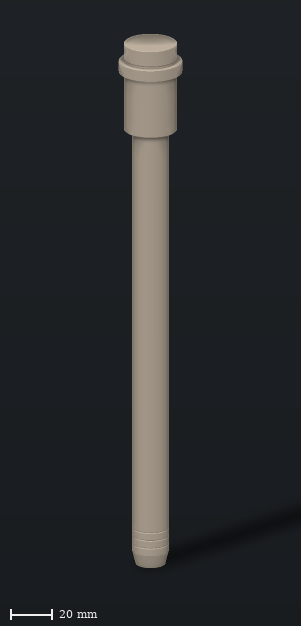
import cadquery as cq

total_length = 270.0

head_radius = 13.0
spigot_length = 9.0
collar_radius = 15.5
collar_thickness = 6.0
seat_length = 30.0
seat_chamfer = 0.5
rim_chamfer = 0.25

shaft_radius = 9.0
tip_radius = 7.25
tip_length = 7.0
tip_fillet = 0.5

relief_radius = 0.5
spigot_relief_height = 0.8

ring_groove_radius = 0.4
first_ring_groove_height = 3.85
ring_groove_count = 3
ring_groove_pitch = 4.0
first_ring_groove_z = tip_length + first_ring_groove_height

collar_top = total_length - spigot_length
collar_bottom = collar_top - collar_thickness
seat_bottom = collar_bottom - seat_length


def cylinder(radius, bottom, top):
    """Solid cylinder on the Z axis between two levels."""
    return cq.Workplane("XY").workplane(offset=bottom).circle(radius).extrude(top - bottom)


def revolve_about_z(profile):
    """Turn a closed profile drawn in the XZ plane about the Z axis."""
    return profile.revolve(360, (0, 0, 0), (0, 1, 0))


def round_groove_cutter(radius, centre_z, groove_radius):
    """Torus that cuts a half-round groove into a cylinder of the given radius."""
    return revolve_about_z(cq.Workplane("XZ").moveTo(radius, centre_z).circle(groove_radius))


def make_head():
    """Seat and spigot as one cylinder, with its reliefs, carrying the collar."""
    head = cylinder(head_radius, seat_bottom, total_length)
    head = head.faces("<Z").chamfer(seat_chamfer).faces(">Z").chamfer(rim_chamfer)
    for relief_z in (collar_top + spigot_relief_height, collar_bottom - relief_radius):
        head = head.cut(round_groove_cutter(head_radius, relief_z, relief_radius))
    collar = cylinder(collar_radius, collar_bottom, collar_top).faces("<Z or >Z").chamfer(rim_chamfer)
    return head.union(collar)


def make_shaft():
    """Shaft with a conical tip and ring grooves, reaching up to the head."""
    shaft = revolve_about_z(
        cq.Workplane("XZ")
        .lineTo(tip_radius, 0)
        .lineTo(shaft_radius, tip_length)
        .lineTo(shaft_radius, seat_bottom)
        .lineTo(0, seat_bottom)
        .close()
    )
    shaft = shaft.faces("<Z").edges().fillet(tip_fillet)
    for index in range(ring_groove_count):
        groove_z = first_ring_groove_z + index * ring_groove_pitch
        shaft = shaft.cut(round_groove_cutter(shaft_radius, groove_z, ring_groove_radius))
    return shaft.cut(round_groove_cutter(shaft_radius, seat_bottom - relief_radius, relief_radius))


result = make_head().union(make_shaft())